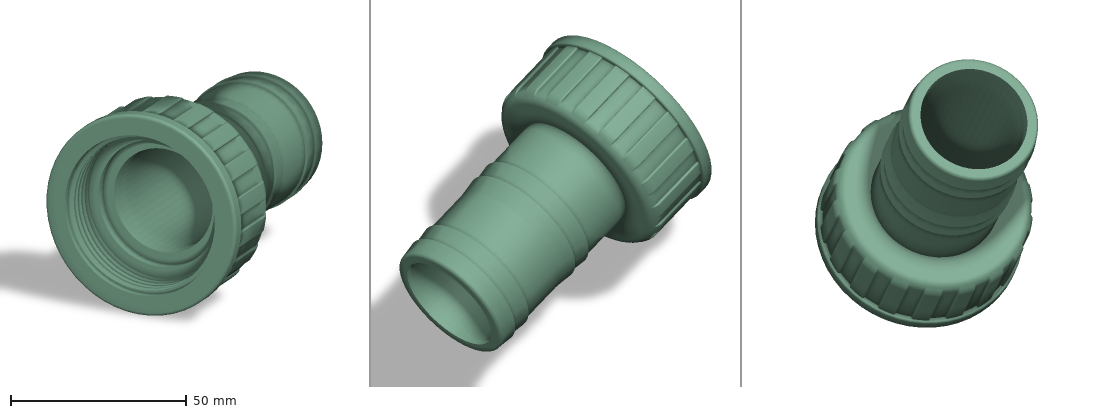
import cadquery as cq
import math

length = 82

bore_diameter = 31.1
tube_diameter = 37.5
barb_diameter = 38.9
barb_length = 6.0
barb_pair_starts = (0, 27.0)
barbs_per_pair = 2
tube_end_fillet = 1.0
flange_diameter = 44.0
flange_face_y = 12.2
recess_diameter = 38.0
recess_depth = 3.0
tube_wall = (tube_diameter - bore_diameter) / 2
flange_back_y = flange_face_y + recess_depth + tube_wall

nut_length = 25.5
nut_body_diameter = 56.9
nut_body_fillet = 2.6
collar_diameter = 60.0
collar_length = 4.2
collar_front_fillet = 1.0
collar_back_fillet = 0.5

rib_count = 18
rib_crest_diameter = 58.4
rib_end_fillet = 4.0
rib_width = 5.25
rib_edge_fillet = 0.5

thread_minor_diameter = 44.85
entry_diameter = 47.8
entry_depth = 2.1
thread_pitch = 2.31
thread_crest_flat = 0.3
thread_root_flat = 0.5
thread_root_gap = 0.04
thread_mouth_overlap = 0.2
thread_lead_in_turns = 0.45
thread_entry_angle = 195


def cylinder(diameter, start_y, end_y):
    """Solid cylinder on the Y axis."""
    plane = cq.Workplane("XZ", origin=(0, start_y, 0))
    return plane.circle(diameter / 2).extrude(start_y - end_y)


def barb(tip_y):
    """Cone that widens from its tip towards the nut."""
    profile = [
        (0, tip_y),
        (tube_diameter / 2, tip_y),
        (barb_diameter / 2, tip_y - barb_length),
        (0, tip_y - barb_length),
    ]
    return cq.Workplane("XY").polyline(profile).close().revolve(360, (0, 0), (0, 1))


def make_tailpiece():
    body = cylinder(tube_diameter, flange_face_y, length)
    for pair_start in barb_pair_starts:
        for index in range(barbs_per_pair):
            body = body.union(barb(length - pair_start - index * barb_length))
    body = body.faces(">Y").edges().fillet(tube_end_fillet)
    body = body.union(cylinder(flange_diameter, flange_face_y, flange_back_y))
    body = body.cut(cylinder(bore_diameter, flange_face_y, length))
    return body.cut(cylinder(recess_diameter, flange_face_y, flange_face_y + recess_depth))


def make_ribs():
    """Ring of ribs with rounded long edges, whose back ends curve down into the nut body."""
    inner_radius = nut_body_diameter / 2 - nut_body_fillet
    crest_radius = rib_crest_diameter / 2
    rib = cylinder(rib_crest_diameter, collar_front_fillet, nut_length)
    rib = rib.faces(">Y").edges().fillet(rib_end_fillet)
    slab = cq.Workplane("XY").box(
        rib_width, nut_length, crest_radius - inner_radius, centered=(True, False, False)
    )
    rib = rib.intersect(slab.translate((0, 0, inner_radius)))
    rib = rib.edges("|Y").edges(">Z").fillet(rib_edge_fillet)
    return [rib.rotate((0, 0, 0), (0, 1, 0), index * 360 / rib_count) for index in range(rib_count)]


def make_thread_groove():
    """Right-hand V groove that starts in the entry bore and ends just short of the cavity floor."""
    minor_radius = thread_minor_diameter / 2
    root_radius = entry_diameter / 2 - thread_root_gap
    half_mouth = (thread_pitch - thread_crest_flat) / 2
    half_root = thread_root_flat / 2
    start_y = entry_depth - thread_lead_in_turns * thread_pitch
    turns = math.floor((flange_back_y - half_mouth - start_y) / thread_pitch)

    flank_run = (half_mouth - half_root) / (root_radius - minor_radius)
    half_inner = half_mouth + flank_run * thread_mouth_overlap
    inner_radius = minor_radius - thread_mouth_overlap

    corners = [
        (inner_radius, -half_inner),
        (root_radius, -half_root),
        (root_radius, half_root),
        (inner_radius, half_inner),
    ]
    helices = [
        cq.Wire.makeHelix(thread_pitch, turns * thread_pitch, radius, center=cq.Vector(0, 0, offset))
        for radius, offset in corners
    ]
    sides = [
        cq.Face.makeRuledSurface(helix, helices[index - 1])
        for index, helix in enumerate(helices)
    ]
    ends = [
        cq.Face.makeFromWires(cq.Wire.makePolygon([helix.positionAt(end) for helix in helices], close=True))
        for end in (0, 1)
    ]
    groove = cq.Workplane(cq.Solid.makeSolid(cq.Shell.makeShell(sides + ends)))

    groove = groove.rotate((0, 0, 0), (1, 0, 0), -90)
    start_angle = thread_entry_angle - thread_lead_in_turns * 360
    return groove.rotate((0, 0, 0), (0, 1, 0), start_angle).translate((0, start_y, 0))


def make_nut():
    collar = cylinder(collar_diameter, 0, collar_length)
    collar = collar.faces("<Y").edges().fillet(collar_front_fillet)
    collar = collar.faces(">Y").edges().fillet(collar_back_fillet)
    body = cylinder(nut_body_diameter, collar_front_fillet, nut_length)
    body = body.faces(">Y").edges().fillet(nut_body_fillet)
    nut = collar.union(body)
    for rib in make_ribs():
        nut = nut.union(rib)
    nut = nut.cut(cylinder(tube_diameter, 0, nut_length))
    nut = nut.cut(cylinder(thread_minor_diameter, 0, flange_back_y))
    nut = nut.cut(make_thread_groove())
    return nut.cut(cylinder(entry_diameter, 0, entry_depth))


tailpiece = make_tailpiece()
nut = make_nut()

result = cq.Compound.makeCompound([tailpiece.val(), nut.val()])